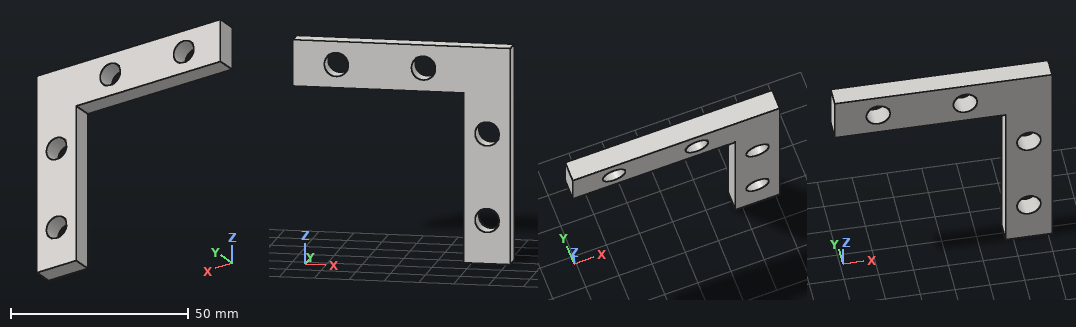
import cadquery as cq

leg_length = 62.5
leg_width = 13.45
thickness = 6.0
hole_diameter = 6.8
hole_spacing = 25.0
holes_per_leg = 2

half_length = leg_length / 2
inner_edge = half_length - leg_width
leg_centerline = half_length - leg_width / 2

outline = [
    (-half_length, half_length),
    (half_length, half_length),
    (half_length, -half_length),
    (inner_edge, -half_length),
    (inner_edge, inner_edge),
    (-half_length, inner_edge),
]
back_plane = cq.Workplane("XZ", origin=(0, thickness / 2, 0))
plate = back_plane.polyline(outline).close().extrude(thickness)

hole_centers = []
for index in range(1, holes_per_leg + 1):
    along_leg = half_length - index * hole_spacing
    hole_centers.append((along_leg, leg_centerline))
    hole_centers.append((leg_centerline, along_leg))

result = plate.faces("<Y").workplane(origin=(0, 0, 0)).pushPoints(hole_centers).hole(hole_diameter)